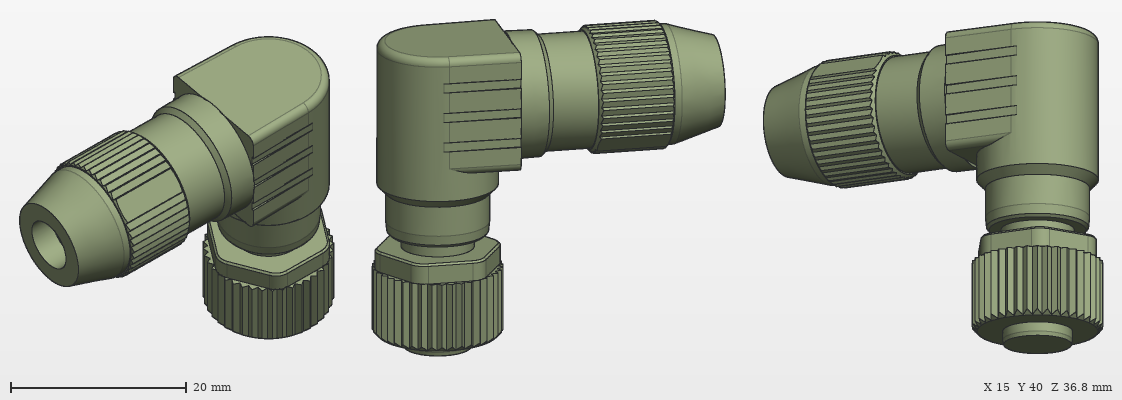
import cadquery as cq
import math


ELBOW_RADIUS = 13.9 / 2
ELBOW_TOP = 7.07
ELBOW_CYLINDER_BOTTOM = -9.95
BLOCK_BOTTOM = -7.0
BLOCK_FRONT = -8.15
SIDE_FLARE_ANGLE = 1.5
EDGE_RADIUS = 0.9

GROOVE_WIDTH = 1.08
GROOVE_PITCH = 3.535
GROOVE_CENTER_Z = 0.05
GROOVE_BACK = 0.85
GROOVE_FLOOR_X = math.sqrt(ELBOW_RADIUS**2 - GROOVE_BACK**2)

BARREL_RADIUS = 11.9 / 2
BARREL_TOP = -10.95
BARREL_TAPER_TOP = -14.42
BARREL_BOTTOM = -15.85
BARREL_END_RADIUS = 5.85
BARREL_EDGE = 0.3
PLUG_NECK_RADIUS = 8.4 / 2
HEX_TOP = -17.45
NUT_TOP = -19.8
NUT_BOTTOM = -27.9
PLUG_TIP_RADIUS = 8 / 2
PLUG_TIP_BOTTOM = -29.45
PLUG_TIP_CHAMFER_HEIGHT = 0.48
PLUG_TIP_CHAMFER = 0.1

HEX_ACROSS_FLATS = 13.2
HEX_CORNER_RADIUS = 2.08
HEX_TOP_CHAMFER = 0.25
NUT_TIP_RADIUS = 15.0 / 2
NUT_ROOT_RADIUS = ELBOW_RADIUS
NUT_TOOTH_COUNT = 40
NUT_CHAMFER = 0.6

COLLAR_BACK_RADIUS = 14.7 / 2
COLLAR_FRONT_RADIUS = 14.55 / 2
COLLAR_FRONT = -11.43
SLEEVE_BACK = -12.02
SLEEVE_RADIUS = 13.42 / 2
GRIP_BACK = -17.3
GRIP_FRONT = -26.15
GRIP_TIP_RADIUS = 14.7 / 2
GRIP_BACK_CHAMFER = 0.48
GRIP_FRONT_CHAMFER = 0.28
CONE_RADIUS = 13.82 / 2
CONE_BACK = -27.05
CABLE_END_RADIUS = 10.6 / 2
OVERALL_LENGTH = 39.95
CABLE_END = NUT_TIP_RADIUS - OVERALL_LENGTH
CABLE_HOLE_DIAMETER = 6.1
CABLE_HOLE_DEPTH = 3.05

GRIP_TOOTH_PITCH = 360 / 46
GRIP_TOOTH_DEPTH = 0.22
GRIP_GROUP_ANGLES = (135, 315)
GRIP_TEETH_PER_SIDE = 10
STEEP_SHARE_AT_MIDDLE = 0.5
STEEP_SHARE_AT_QUARTER_TURN = 0.08


def polar(radius, degrees):
    angle = math.radians(degrees)
    return (radius * math.cos(angle), radius * math.sin(angle))


def revolve_about_z(profile):
    """Turn a closed (radius, z) outline about the Z axis."""
    return cq.Workplane("XZ").polyline(profile).close().revolve(360, (0, 0), (0, 1))


def revolve_about_y(profile):
    """Turn a closed (radius, y) outline about the Y axis."""
    return cq.Workplane("XY").polyline(profile).close().revolve(360, (0, 0), (0, 1))


def make_elbow():
    """Round-backed block whose flared sides run tangent into the cylinder above the plug."""
    tangent_point = polar(ELBOW_RADIUS, SIDE_FLARE_ANGLE)
    flare = math.radians(SIDE_FLARE_ANGLE)
    front_half_width = (ELBOW_RADIUS - BLOCK_FRONT * math.sin(flare)) / math.cos(flare)
    block = (
        cq.Workplane("XY")
        .workplane(offset=BLOCK_BOTTOM)
        .moveTo(-front_half_width, BLOCK_FRONT)
        .lineTo(front_half_width, BLOCK_FRONT)
        .lineTo(*tangent_point)
        .threePointArc((0, ELBOW_RADIUS), (-tangent_point[0], tangent_point[1]))
        .close()
        .extrude(ELBOW_TOP - BLOCK_BOTTOM)
        .faces("<Z or >Z")
        .edges("not #Y")
        .fillet(EDGE_RADIUS)
    )
    cylinder = (
        cq.Workplane("XY")
        .workplane(offset=ELBOW_CYLINDER_BOTTOM)
        .circle(ELBOW_RADIUS)
        .extrude(-ELBOW_CYLINDER_BOTTOM)
    )
    return block.union(cylinder)


def cut_grip_grooves(body):
    length = GROOVE_BACK - BLOCK_FRONT
    for side in (-1, 1):
        for row in (-1, 0, 1):
            groove = cq.Workplane("XY").box(GROOVE_WIDTH, length, GROOVE_WIDTH).translate((
                side * (GROOVE_FLOOR_X + GROOVE_WIDTH / 2),
                (GROOVE_BACK + BLOCK_FRONT) / 2,
                GROOVE_CENTER_Z + row * GROOVE_PITCH,
            ))
            body = body.cut(groove)
    return body


def make_plug_core():
    return revolve_about_z([
        (0, ELBOW_CYLINDER_BOTTOM),
        (ELBOW_RADIUS, ELBOW_CYLINDER_BOTTOM),
        (BARREL_RADIUS, BARREL_TOP),
        (BARREL_RADIUS, BARREL_TAPER_TOP),
        (BARREL_END_RADIUS, BARREL_BOTTOM + BARREL_EDGE),
        (BARREL_END_RADIUS - BARREL_EDGE, BARREL_BOTTOM),
        (PLUG_NECK_RADIUS, BARREL_BOTTOM),
        (PLUG_NECK_RADIUS, NUT_TOP),
        (PLUG_TIP_RADIUS, NUT_TOP),
        (PLUG_TIP_RADIUS, PLUG_TIP_BOTTOM + PLUG_TIP_CHAMFER_HEIGHT),
        (PLUG_TIP_RADIUS - PLUG_TIP_CHAMFER, PLUG_TIP_BOTTOM),
        (0, PLUG_TIP_BOTTOM),
    ])


def make_hex():
    """Hexagonal head with flats facing +X and -X."""
    return (
        cq.Workplane("XY")
        .workplane(offset=NUT_TOP)
        .polygon(6, HEX_ACROSS_FLATS, circumscribed=True)
        .extrude(HEX_TOP - NUT_TOP)
        .edges("|Z")
        .fillet(HEX_CORNER_RADIUS)
        .faces(">Z")
        .edges()
        .chamfer(HEX_TOP_CHAMFER)
    )


def make_knurled_nut():
    pitch = 360 / NUT_TOOTH_COUNT
    outline = []
    for tooth in range(NUT_TOOTH_COUNT):
        outline.append(polar(NUT_TIP_RADIUS, tooth * pitch))
        outline.append(polar(NUT_ROOT_RADIUS, (tooth + 0.5) * pitch))
    teeth = (
        cq.Workplane("XY")
        .workplane(offset=NUT_BOTTOM)
        .polyline(outline)
        .close()
        .extrude(NUT_TOP - NUT_BOTTOM)
    )
    envelope = revolve_about_z([
        (0, NUT_TOP),
        (NUT_TIP_RADIUS, NUT_TOP),
        (NUT_TIP_RADIUS, NUT_BOTTOM + NUT_CHAMFER),
        (NUT_TIP_RADIUS - NUT_CHAMFER, NUT_BOTTOM),
        (0, NUT_BOTTOM),
    ])
    return teeth.intersect(envelope)


def make_cable_core():
    return revolve_about_y([
        (0, BLOCK_FRONT),
        (COLLAR_BACK_RADIUS, BLOCK_FRONT),
        (COLLAR_FRONT_RADIUS, COLLAR_FRONT),
        (SLEEVE_RADIUS, SLEEVE_BACK),
        (SLEEVE_RADIUS, GRIP_FRONT),
        (CONE_RADIUS, GRIP_FRONT),
        (CONE_RADIUS, CONE_BACK),
        (CABLE_END_RADIUS, CABLE_END),
        (0, CABLE_END),
    ])


def grip_valley_angle(tooth):
    """Angle from the group's middle to the valley on the inner side of a tooth."""
    tip_angle = tooth * GRIP_TOOTH_PITCH
    share_change = STEEP_SHARE_AT_QUARTER_TURN - STEEP_SHARE_AT_MIDDLE
    steep_share = STEEP_SHARE_AT_MIDDLE + share_change * abs(tip_angle) / 90
    return tip_angle - math.copysign(steep_share * GRIP_TOOTH_PITCH, tip_angle)


def make_cable_grip():
    """Ring of teeth whose steep flanks face the middle of their group."""
    valley_radius = GRIP_TIP_RADIUS - GRIP_TOOTH_DEPTH
    outline = []
    for middle in GRIP_GROUP_ANGLES:
        for tooth in range(-GRIP_TEETH_PER_SIDE, GRIP_TEETH_PER_SIDE + 1):
            tip = polar(GRIP_TIP_RADIUS, middle + tooth * GRIP_TOOTH_PITCH)
            valley = polar(valley_radius, middle + grip_valley_angle(tooth))
            if tooth < 0:
                outline += [tip, valley]
            elif tooth == 0:
                outline.append(tip)
            else:
                outline += [valley, tip]
    teeth = (
        cq.Workplane("XZ")
        .workplane(offset=-GRIP_BACK)
        .polyline(outline)
        .close()
        .extrude(GRIP_BACK - GRIP_FRONT)
    )
    envelope = revolve_about_y([
        (0, GRIP_BACK),
        (GRIP_TIP_RADIUS - GRIP_BACK_CHAMFER, GRIP_BACK),
        (GRIP_TIP_RADIUS, GRIP_BACK - GRIP_BACK_CHAMFER),
        (GRIP_TIP_RADIUS, GRIP_FRONT + GRIP_FRONT_CHAMFER),
        (GRIP_TIP_RADIUS - GRIP_FRONT_CHAMFER, GRIP_FRONT),
        (0, GRIP_FRONT),
    ])
    return teeth.intersect(envelope)


def make_cable_hole():
    return (
        cq.Workplane("XZ")
        .workplane(offset=-CABLE_END)
        .circle(CABLE_HOLE_DIAMETER / 2)
        .extrude(-CABLE_HOLE_DEPTH)
    )


result = (
    cut_grip_grooves(make_elbow())
    .union(make_plug_core())
    .union(make_hex())
    .union(make_knurled_nut())
    .union(make_cable_core())
    .union(make_cable_grip())
    .cut(make_cable_hole())
)